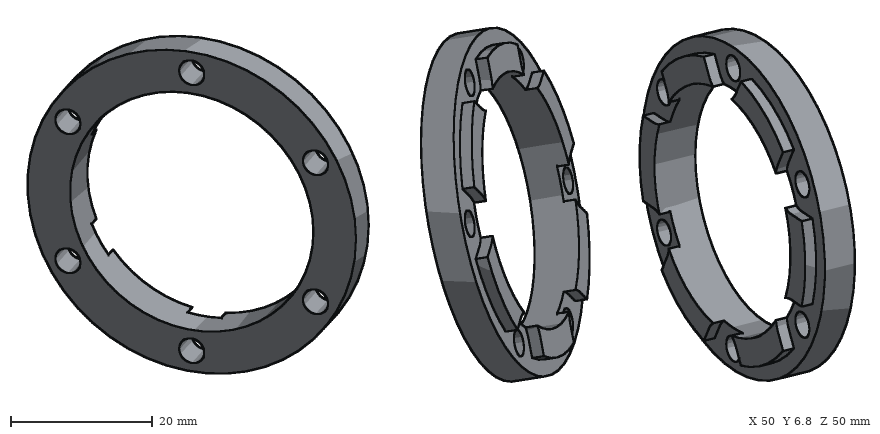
import cadquery as cq
import math

outer_radius = 50 / 2
bore_radius = 37 / 2
ring_thickness = 5

hole_count = 6
hole_diameter = 3.8
bolt_circle_radius = 21.75
pitch_angle = 360 / hole_count
half_pitch = math.radians(pitch_angle / 2)

tab_height = 1.8
tab_outer_radius = 22.6
head_clearance_radius = 4.25


def point_on_circle(center, radius, angle):
    """Point at an angle, in radians, on a circle."""
    return (center[0] + radius * math.cos(angle), center[1] + radius * math.sin(angle))


def mirrored(point):
    """Mirror a point across the tab's centreline, the X axis."""
    return (point[0], -point[1])


def make_tab():
    """Tab centred on +X: straight flanks tangent to arcs around the two neighbouring holes."""
    hole_center = point_on_circle((0, 0), bolt_circle_radius, half_pitch)
    flank_offset = hole_center[1] - head_clearance_radius
    outer_corner = (math.sqrt(tab_outer_radius**2 - flank_offset**2), flank_offset)
    tangent_point = (hole_center[0], flank_offset)

    arc_start = -math.pi / 2
    arc_end = arc_start - half_pitch
    arc_middle = point_on_circle(hole_center, head_clearance_radius, (arc_start + arc_end) / 2)
    inner_corner = point_on_circle(hole_center, head_clearance_radius, arc_end)

    return (
        cq.Workplane("XZ", origin=(0, ring_thickness, 0))
        .moveTo(*mirrored(outer_corner))
        .threePointArc((tab_outer_radius, 0), outer_corner)
        .lineTo(*tangent_point)
        .threePointArc(arc_middle, inner_corner)
        .lineTo(*mirrored(inner_corner))
        .threePointArc(mirrored(arc_middle), mirrored(tangent_point))
        .close()
        .extrude(-tab_height)
    )


def make_disc():
    """Flat disc from Y = 0 towards +Y, with its circle of through holes."""
    disc = cq.Workplane("XZ").circle(outer_radius).extrude(-ring_thickness)
    holes = (
        cq.Workplane("XZ")
        .polarArray(bolt_circle_radius, pitch_angle / 2, 360, hole_count)
        .circle(hole_diameter / 2)
        .extrude(-ring_thickness)
    )
    return disc.cut(holes)


def make_bore():
    """Cylinder that opens the disc and trims all the tabs to the bore radius."""
    return cq.Workplane("XZ").circle(bore_radius).extrude(-(ring_thickness + tab_height))


result = make_disc()
tab = make_tab()
for index in range(hole_count):
    result = result.union(tab.rotate((0, 0, 0), (0, 1, 0), index * pitch_angle))
result = result.cut(make_bore())